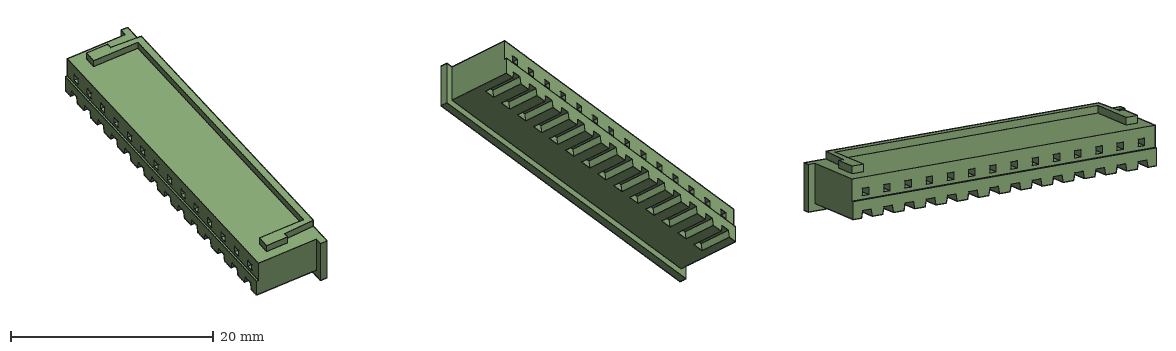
import cadquery as cq

length = 37.3
depth = 7.75
height = 5.7

wall = 0.8

body_length = length - 2 * wall
body_bottom = wall
body_top = height - wall
ledge_top = 2.65
ledge_depth = 0.22

arm_inner_x = 15.48
arm_back_x = 16.08
arm_step_x = 16.25
hook_outer_x = 16.82
arm_step_depth = 3.47
hook_depth = 5.93

contact_count = 14
pitch = 2.5
window_width = 0.75
window_center_z = 3.4
slot_top_width = 0.97
slot_bottom_width = 1.25
slot_height = 0.8
opening_depth = (depth - wall) / 2


def box(x_min, x_max, y_min, y_max, z_min, z_max):
    """Axis-aligned block between two opposite corners."""
    size = (x_max - x_min, y_max - y_min, z_max - z_min)
    return cq.Workplane("XY").box(*size, centered=False).translate((x_min, y_min, z_min))


def rear_flange():
    return box(-length / 2, length / 2, -wall, 0, 0, body_top)


def housing_block():
    """Stepped side profile extruded along the row of contacts."""
    upper_front = -depth + ledge_depth
    profile = [
        (0, body_bottom),
        (-depth, body_bottom),
        (-depth, ledge_top),
        (upper_front, ledge_top),
        (upper_front, body_top),
        (0, body_top),
    ]
    return cq.Workplane("YZ").polyline(profile).close().extrude(body_length / 2, both=True)


def locking_frame():
    """U-shaped rib with tapered arms that end in outward hooks."""
    right_half = [
        (arm_inner_x, -wall),
        (arm_inner_x, -hook_depth),
        (hook_outer_x, -hook_depth),
        (hook_outer_x, -arm_step_depth),
        (arm_step_x, -arm_step_depth),
        (arm_back_x, 0),
    ]
    left_half = [(-x, y) for x, y in reversed(right_half)]
    outline = cq.Workplane("XY").workplane(offset=body_top).polyline(right_half + left_half)
    return outline.close().extrude(wall)


def contact_window(x):
    """Square blind opening in the front face, half the block deep."""
    half = window_width / 2
    return box(x - half, x + half, -depth, opening_depth - depth,
               window_center_z - half, window_center_z + half)


def contact_slot(x):
    """Trapezoidal groove in the underside, running from the front over half the block."""
    slot_top = body_bottom + slot_height
    profile = [
        (x - slot_bottom_width / 2, body_bottom),
        (x + slot_bottom_width / 2, body_bottom),
        (x + slot_top_width / 2, slot_top),
        (x - slot_top_width / 2, slot_top),
    ]
    front_plane = cq.Workplane("XZ", origin=(0, -depth, 0))
    return front_plane.polyline(profile).close().extrude(-opening_depth)


result = rear_flange().union(housing_block()).union(locking_frame())
for index in range(contact_count):
    contact_x = (index - (contact_count - 1) / 2) * pitch
    result = result.cut(contact_window(contact_x)).cut(contact_slot(contact_x))